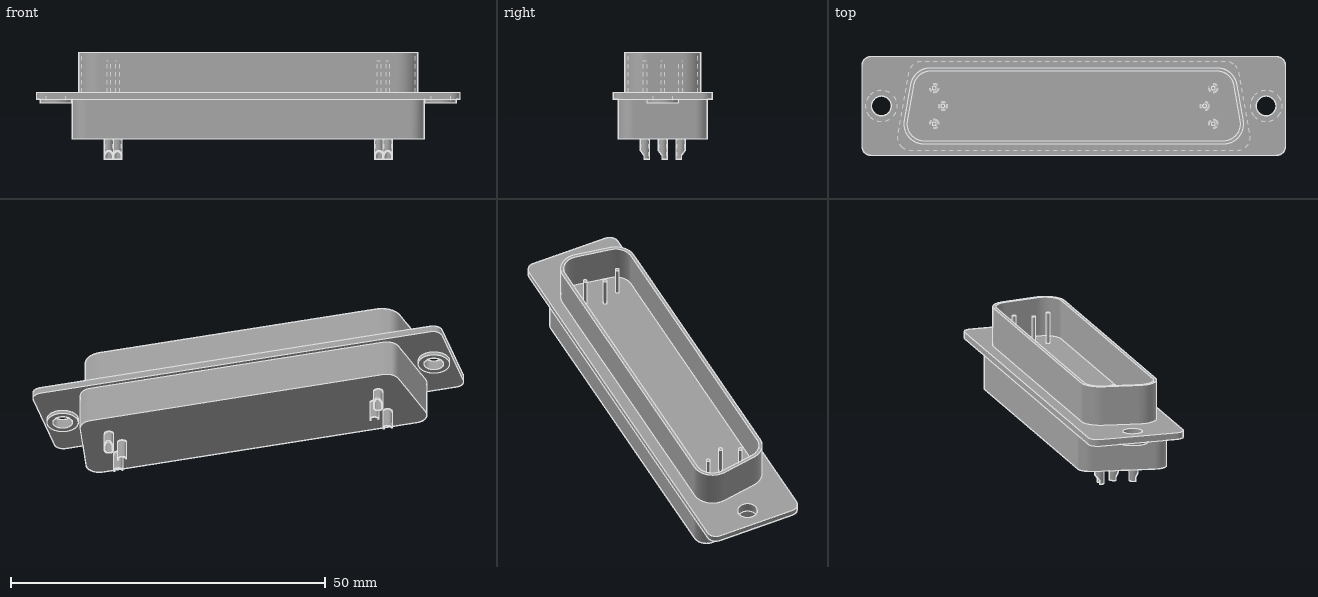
import cadquery as cq
import math

FLANGE_LENGTH = 67.31
FLANGE_WIDTH = 15.75
FLANGE_THICKNESS = 1.1
FLANGE_CORNER_RADIUS = 1.5
MOUNT_HOLE_PITCH = 61.1
MOUNT_HOLE_DIAMETER = 3.1
MOUNT_PAD_DIAMETER = 5.0
MOUNT_PAD_HEIGHT = 0.6

SIDE_TILT = math.radians(10)
SHELL_HEIGHT = 6.35
SHELL_LENGTH = 53.92
SHELL_WIDTH = 12.1
SHELL_CORNER_RADIUS = 3.2
SHELL_WALL = 0.5
BODY_HEIGHT = 6.3
BODY_LENGTH = 55.97
BODY_WIDTH = 14.18
BODY_CORNER_RADIUS = 2.15

ROW_PITCH = 2.84
CONTACT_PITCH = 2.77
PITCHES_FROM_CENTER = 8
OUTER_ROW_X = PITCHES_FROM_CENTER * CONTACT_PITCH
MIDDLE_ROW_X = OUTER_ROW_X - CONTACT_PITCH / 2
PIN_DIAMETER = 0.6
PIN_HEIGHT = 5.0
CUP_DIAMETER = 1.49
CUP_LENGTH = 3.25
CUP_BORE_DIAMETER = 1.2
CUP_FULL_LENGTH = 1.8
CUP_SLOPE_LENGTH = 0.8
CUP_CUT_DEPTH = 0.6

FLANGE_TOP = FLANGE_THICKNESS
BODY_BOTTOM = -BODY_HEIGHT


def d_prism(length, width, corner_radius, base_z, height):
    """Upright D-shaped prism whose rounded long side, at -Y, spans `length`."""
    acute_angle = math.pi / 2 - SIDE_TILT
    sharp_half = length / 2 - corner_radius + corner_radius / math.tan(acute_angle / 2)
    short_half = sharp_half - width * math.tan(SIDE_TILT)
    outline = [
        (-sharp_half, -width / 2),
        (sharp_half, -width / 2),
        (short_half, width / 2),
        (-short_half, width / 2),
    ]
    prism = cq.Workplane("XY", origin=(0, 0, base_z)).polyline(outline).close().extrude(height)
    return prism.edges("|Z").fillet(corner_radius)


def make_housing():
    """Flange with the hollow shell on top, the solid body below and the mounting holes."""
    flange = cq.Workplane("XY").box(
        FLANGE_LENGTH, FLANGE_WIDTH, FLANGE_THICKNESS, centered=(True, True, False)
    )
    flange = flange.edges("|Z").fillet(FLANGE_CORNER_RADIUS)

    hole_centers = [(-MOUNT_HOLE_PITCH / 2, 0), (MOUNT_HOLE_PITCH / 2, 0)]
    pads = (
        cq.Workplane("XY")
        .pushPoints(hole_centers)
        .circle(MOUNT_PAD_DIAMETER / 2)
        .extrude(-MOUNT_PAD_HEIGHT)
    )
    holes = (
        cq.Workplane("XY", origin=(0, 0, -MOUNT_PAD_HEIGHT))
        .pushPoints(hole_centers)
        .circle(MOUNT_HOLE_DIAMETER / 2)
        .extrude(MOUNT_PAD_HEIGHT + FLANGE_THICKNESS)
    )
    shell = d_prism(SHELL_LENGTH, SHELL_WIDTH, SHELL_CORNER_RADIUS, FLANGE_TOP, SHELL_HEIGHT)
    cavity = d_prism(
        SHELL_LENGTH - 2 * SHELL_WALL,
        SHELL_WIDTH - 2 * SHELL_WALL,
        SHELL_CORNER_RADIUS - SHELL_WALL,
        FLANGE_TOP,
        SHELL_HEIGHT,
    )
    body = d_prism(BODY_LENGTH, BODY_WIDTH, BODY_CORNER_RADIUS, BODY_BOTTOM, BODY_HEIGHT)
    return flange.union(pads).cut(holes).union(shell.cut(cavity)).union(body)


def make_solder_cup(open_side):
    """Solder cup at the origin, cut open toward +Y (open_side = 1) or -Y (open_side = -1)."""
    radius = CUP_DIAMETER / 2
    cup = cq.Workplane("XY").circle(radius).extrude(-CUP_LENGTH)
    bore = (
        cq.Workplane("XY", origin=(0, 0, -CUP_LENGTH))
        .circle(CUP_BORE_DIAMETER / 2)
        .extrude(CUP_LENGTH)
    )
    outer_y = open_side * radius
    inner_y = open_side * (radius - CUP_CUT_DEPTH)
    opening = (
        cq.Workplane("YZ", origin=(-radius, 0, 0))
        .moveTo(outer_y, -CUP_FULL_LENGTH)
        .lineTo(inner_y, -CUP_FULL_LENGTH - CUP_SLOPE_LENGTH)
        .lineTo(inner_y, -CUP_LENGTH)
        .lineTo(outer_y, -CUP_LENGTH)
        .close()
        .extrude(CUP_DIAMETER)
    )
    return cup.cut(bore).cut(opening)


def add_contacts(part):
    """Add three contacts at each end; only the +Y row opens its cups toward +Y."""
    rows = [
        (OUTER_ROW_X, ROW_PITCH, 1),
        (MIDDLE_ROW_X, 0, -1),
        (OUTER_ROW_X, -ROW_PITCH, -1),
    ]
    pin = cq.Workplane("XY").circle(PIN_DIAMETER / 2).extrude(PIN_HEIGHT)
    for row_x, y, open_side in rows:
        cup = make_solder_cup(open_side)
        for x in (-row_x, row_x):
            part = part.union(pin.translate((x, y, FLANGE_TOP)))
            part = part.union(cup.translate((x, y, BODY_BOTTOM)))
    return part


result = add_contacts(make_housing())